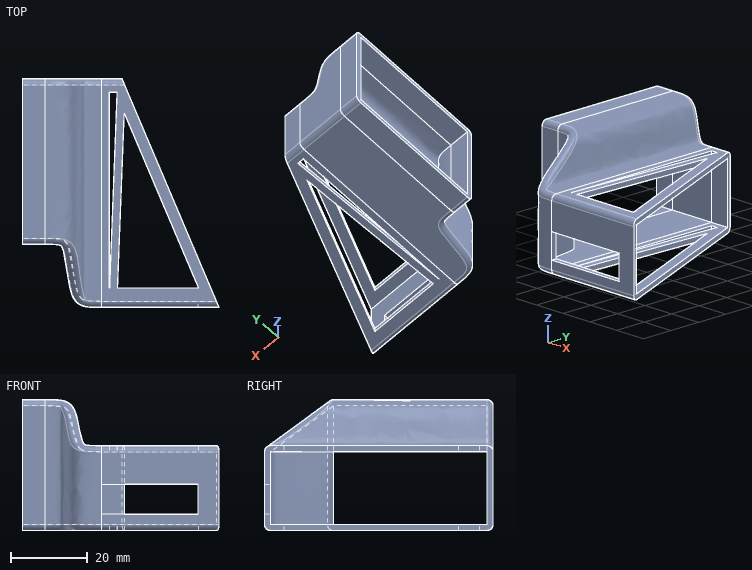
import cadquery as cq
import math


wall = 1.6
total_length = 51.38
total_width = 59.72
inlet_height = 34.21
outlet_height = 22.17
inlet_front_y = 16.46
collar_end_x = 5.92
transition_end_x = 20.6
curve_near_pull = 5.2
curve_far_pull = 7.08
outlet_angle = 23.0

slot_length = 25.2
slot_bottom_z = 4.3
slot_height = 7.78

window_left_margin = 2.15
window_front_margin = 5.1
window_back_margin = 3.6
window_slant_margin = 3.0
sliver_back_width = 1.95
rib_width = 2.12

floor_z = wall
inlet_ceiling_z = inlet_height - wall
outlet_ceiling_z = outlet_height - wall
inner_back_y = total_width - wall
inlet_inner_y = inlet_front_y + wall
outlet_inner_y = wall
slant = math.tan(math.radians(outlet_angle))


def slant_x(y, margin=0.0):
    """X on the slanted outlet face at y, moved inward by a margin square to it."""
    return total_length - y * slant - margin / math.cos(math.radians(outlet_angle))


def box_between(x0, x1, y0, y1, z0, z1):
    return cq.Workplane("XY").box(x1 - x0, y1 - y0, z1 - z0, centered=False).translate((x0, y0, z0))


def wrap_wall(air_space, open_faces):
    """Wall around an air space: sharp corners inside, rounded ones outside."""
    return air_space.faces(open_faces).shell(wall, kind="arc")


def s_curve_profile(plane, start, end, base):
    """Closed profile between a straight base line and an S-curve from start to end."""
    reaches = [0, curve_near_pull, curve_far_pull, curve_far_pull]
    leaving = [(collar_end_x + reach, start) for reach in reaches]
    arriving = [(transition_end_x - reach, end) for reach in reversed(reaches)]
    return (
        cq.Workplane(plane)
        .moveTo(collar_end_x, base)
        .lineTo(collar_end_x, start)
        .bezier(leaving + arriving)
        .lineTo(transition_end_x, base)
        .close()
    )


def make_inlet_collar():
    air_space = box_between(0, collar_end_x, inlet_inner_y, inner_back_y, floor_z, inlet_ceiling_z)
    return wrap_wall(air_space, "<X or >X")


def make_transition():
    side_profile = s_curve_profile("XZ", inlet_ceiling_z, outlet_ceiling_z, floor_z)
    plan_profile = s_curve_profile("XY", inlet_inner_y, outlet_inner_y, inner_back_y)
    air_space = side_profile.extrude(-total_width).intersect(plan_profile.extrude(inlet_height))
    air_space = air_space.intersect(
        box_between(0, total_length, 0, total_width, floor_z, inlet_height)
    )
    return wrap_wall(air_space, "<X or >X")


def make_windows():
    left_x = transition_end_x + window_left_margin
    front_y = window_front_margin
    back_y = total_width - window_back_margin
    rib_slope = sliver_back_width / (back_y - front_y)
    sliver = [(left_x, front_y), (left_x + sliver_back_width, back_y), (left_x, back_y)]

    wide_left_x = left_x + rib_width
    wide_right_x = slant_x(front_y, window_slant_margin)
    apex_rise = (wide_right_x - wide_left_x) / (slant + rib_slope)
    apex = (wide_left_x + rib_slope * apex_rise, front_y + apex_rise)
    wide = [(wide_left_x, front_y), (wide_right_x, front_y), apex]

    windows = cq.Workplane("XY").polyline(sliver).close().polyline(wide).close()
    return windows.extrude(outlet_height)


def make_slot():
    slot_end_x = transition_end_x + slot_length
    return box_between(transition_end_x, slot_end_x, 0, wall, slot_bottom_z, slot_bottom_z + slot_height)


def make_outlet():
    air_space = (
        cq.Workplane("XY", origin=(0, 0, floor_z))
        .moveTo(transition_end_x, outlet_inner_y)
        .lineTo(slant_x(outlet_inner_y), outlet_inner_y)
        .lineTo(slant_x(inner_back_y), inner_back_y)
        .lineTo(transition_end_x, inner_back_y)
        .close()
        .extrude(outlet_ceiling_z - floor_z)
    )
    shell = wrap_wall(air_space, "<X or >X")
    return shell.cut(make_windows()).cut(make_slot()).solids()


inlet_collar = make_inlet_collar()
transition = make_transition()
outlet = make_outlet()

result = cq.Compound.makeCompound([inlet_collar.val(), transition.val(), outlet.val()])